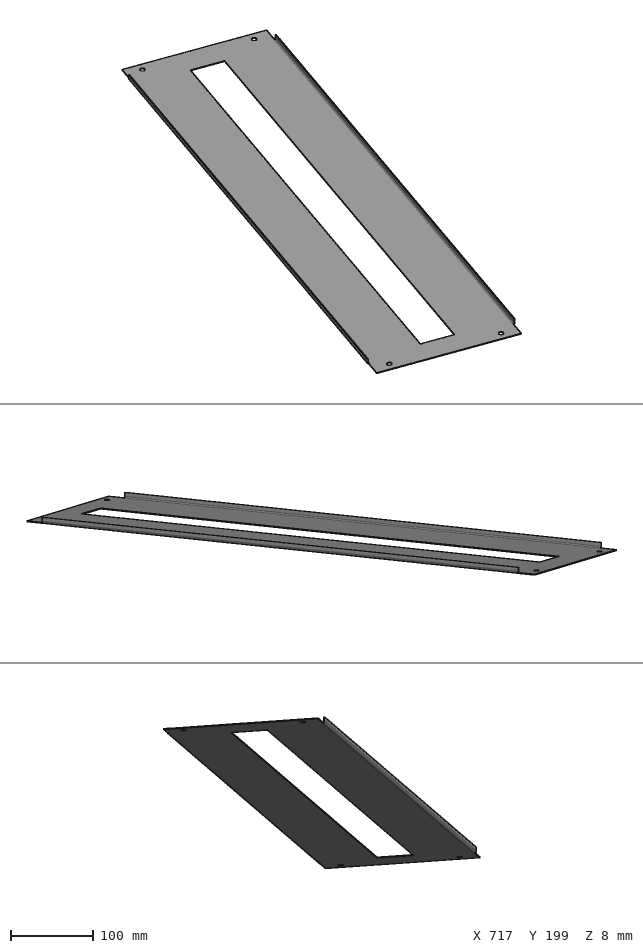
import cadquery as cq

length = 717.0
width = 199.0
height = 8.0
thickness = 1.5

flange_length = 672.5
bend_radius = 3.0
inner_bend_radius = bend_radius - thickness

tab_inset = 2.0
tab_width = width - 2 * tab_inset

window_length = 647.5
window_width = 46.0
window_offset = 2.0

hole_diameter = 6.5
hole_spacing_x = 695.5
hole_spacing_y = 150.5


def folded_section():
    """Shallow channel with rounded bends, centred on the origin in X and Y."""
    outer = (
        cq.Workplane("XY")
        .box(flange_length, width, height, centered=(True, True, False))
        .edges("|X and <Z")
        .fillet(bend_radius)
    )
    inner = (
        cq.Workplane("XY")
        .workplane(offset=thickness)
        .box(flange_length, width - 2 * thickness, height, centered=(True, True, False))
        .edges("|X and <Z")
        .fillet(inner_bend_radius)
    )
    return outer.cut(inner)


def end_tab(side):
    """Flat tab carrying the sheet from the folded section to one end."""
    tab_length = (length - flange_length) / 2
    return (
        cq.Workplane("XY")
        .center(side * (length - tab_length) / 2, 0)
        .rect(tab_length, tab_width)
        .extrude(thickness)
    )


panel = folded_section()
for side in (-1, 1):
    panel = panel.union(end_tab(side))

window = (
    cq.Workplane("XY")
    .center(window_offset, 0)
    .rect(window_length, window_width)
    .extrude(thickness)
)
mounting_holes = (
    cq.Workplane("XY")
    .rect(hole_spacing_x, hole_spacing_y, forConstruction=True)
    .vertices()
    .circle(hole_diameter / 2)
    .extrude(thickness)
)

result = panel.cut(window).cut(mounting_holes)